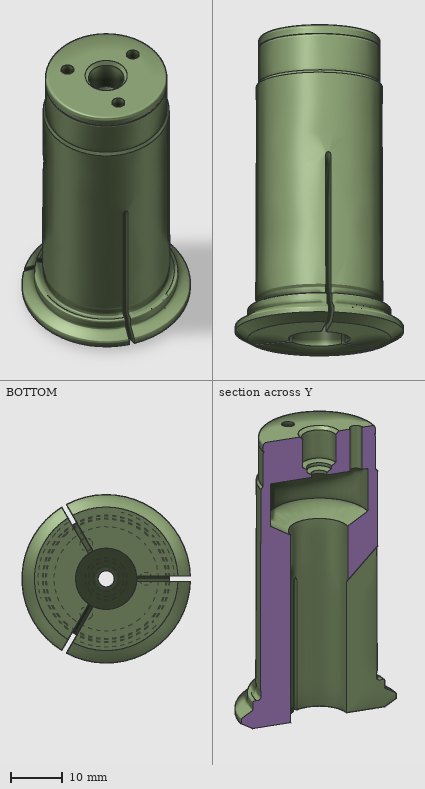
import cadquery as cq
import math


length = 60.5
sector_count = 3

flange_r = 33.0 / 2
bottom_r = 14.05
bevel_angle = math.radians(30)
rim_top = 2.25
rim_round = 0.55
collar_r = bottom_r
collar_top = 5.9
collar_root_blend = 0.4
collar_edge_round = 0.35

relief_r = 24.6 / 2
relief_arc_r = 0.7
relief_arc_top = 6.6
relief_top = 7.3
relief_taper = math.radians(15)

body_bottom_r = 12.45
body_top_r = 12.35
body_top = 50.65
head_r = 23.8 / 2
head_bottom = 51.25
edge_round = 0.8
joint_top = 58.55
joint_bottom = 58.0

drill_slope = math.radians(31)
bore_r = 12.0 / 2
bore_depth = 39.9
chamber_r = 20.4 / 2
chamber_top = 51.4

hole_chamfer = 0.65
hole_r = 6.9 / 2
hole_depth = 6.65
pilot_r = 5.0 / 2
pilot_depth = 7.85
vent_r = 3.15 / 2

feed_r = 2.5 / 2
feed_circle_r = 7.75

slit_width = 1.0
slit_end_z = 33.9
slit_end_slope = math.radians(45)


def make_outside():
    """Revolved outer form, drawn as radius against height from the bottom face upwards."""
    bevel = math.tan(bevel_angle)
    bottom_bevel_top = (flange_r - bottom_r) * bevel

    rim_center_r = flange_r - rim_round
    rim_turn = math.pi / 2 - bevel_angle
    rim_mid = (
        rim_center_r + rim_round * math.cos(rim_turn / 2),
        rim_top + rim_round * math.sin(rim_turn / 2),
    )
    rim_end = (
        rim_center_r + rim_round * math.cos(rim_turn),
        rim_top + rim_round * math.sin(rim_turn),
    )

    root_center_r = collar_r + collar_root_blend
    root_start_r = root_center_r - collar_root_blend * math.cos(rim_turn)
    root_start = (root_start_r, rim_end[1] + (rim_end[0] - root_start_r) * bevel)
    collar_bottom = root_start[1] + collar_root_blend * math.sin(rim_turn)
    root_mid = (
        root_center_r - collar_root_blend * math.cos(rim_turn / 2),
        collar_bottom - collar_root_blend * math.sin(rim_turn / 2),
    )

    relief_center_r = relief_r + relief_arc_r
    relief_drop = relief_arc_top - collar_top
    relief_start_r = relief_center_r + math.sqrt(relief_arc_r**2 - relief_drop**2)
    relief_mid = (
        relief_center_r - relief_arc_r * math.sin(math.pi / 4),
        relief_arc_top - relief_arc_r * math.cos(math.pi / 4),
    )

    runout_mid = (
        relief_center_r - relief_arc_r * math.cos(relief_taper / 2),
        relief_top + relief_arc_r * math.sin(relief_taper / 2),
    )
    runout_end = (
        relief_center_r - relief_arc_r * math.cos(relief_taper),
        relief_top + relief_arc_r * math.sin(relief_taper),
    )
    body_bottom = runout_end[1] + (body_bottom_r - runout_end[0]) / math.tan(relief_taper)

    lip_center_r = head_r - edge_round
    lip_turn = math.asin((joint_top - joint_bottom) / edge_round)
    lip_mid = (
        lip_center_r + edge_round * math.cos(lip_turn / 2),
        joint_bottom + edge_round * math.sin(lip_turn / 2),
    )
    lip_end_r = lip_center_r + edge_round * math.cos(lip_turn)

    profile = (
        cq.Workplane("XZ")
        .moveTo(0, 0)
        .lineTo(bottom_r, 0)
        .lineTo(flange_r, bottom_bevel_top)
        .lineTo(flange_r, rim_top)
        .threePointArc(rim_mid, rim_end)
        .lineTo(*root_start)
        .threePointArc(root_mid, (collar_r, collar_bottom))
        .lineTo(collar_r, collar_top - collar_edge_round)
        .tangentArcPoint((collar_r - collar_edge_round, collar_top), relative=False)
        .lineTo(relief_start_r, collar_top)
        .threePointArc(relief_mid, (relief_r, relief_arc_top))
        .lineTo(relief_r, relief_top)
        .threePointArc(runout_mid, runout_end)
        .lineTo(body_bottom_r, body_bottom)
        .lineTo(body_top_r, body_top)
        .lineTo(head_r, head_bottom)
        .lineTo(head_r, joint_bottom)
        .threePointArc(lip_mid, (lip_end_r, joint_top))
        .lineTo(head_r, joint_top)
        .lineTo(head_r, length - edge_round)
        .tangentArcPoint((head_r - edge_round, length), relative=False)
        .lineTo(0, length)
        .close()
    )
    return profile.revolve(360, (0, 0, 0), (0, 1, 0))


def revolve_points(points):
    """Solid of revolution about Z from (radius, height) points."""
    return cq.Workplane("XZ").polyline(points).close().revolve(360, (0, 0, 0), (0, 1, 0))


def make_interior():
    """Clamping bore, opening through a drill-point cone into the wider chamber."""
    cone_height = (chamber_r - bore_r) * math.tan(drill_slope)
    return revolve_points([
        (0, 0),
        (bore_r, 0),
        (bore_r, bore_depth),
        (chamber_r, bore_depth + cone_height),
        (chamber_r, chamber_top),
        (0, chamber_top),
    ])


def make_head_hole():
    """Chamfered hole stepping down through two drill-point cones into the chamber."""
    hole_floor = length - hole_depth
    pilot_floor = length - pilot_depth
    return revolve_points([
        (0, length),
        (hole_r + hole_chamfer, length),
        (hole_r, length - hole_chamfer),
        (hole_r, hole_floor),
        (pilot_r, hole_floor - (hole_r - pilot_r) * math.tan(drill_slope)),
        (pilot_r, pilot_floor),
        (vent_r, pilot_floor - (pilot_r - vent_r) * math.tan(drill_slope)),
        (vent_r, chamber_top),
        (0, chamber_top),
    ])


def make_feed_holes():
    """Feed holes from the top face down into the chamber."""
    return (
        cq.Workplane("XY", origin=(0, 0, chamber_top))
        .polarArray(feed_circle_r, 0, 360, sector_count)
        .circle(feed_r)
        .extrude(length - chamber_top)
    )


def make_slit():
    """Radial slit along +X, from the bore outwards, with a sloping half-round upper end."""
    reach = 2 * flange_r
    slope = math.tan(slit_end_slope)
    axis_z = slit_end_z - body_top_r * slope
    outer_z = axis_z + reach * slope
    blade = (
        cq.Workplane("XZ")
        .polyline([(0, 0), (reach, 0), (reach, outer_z), (0, axis_z)])
        .close()
        .extrude(slit_width / 2, both=True)
    )
    direction = cq.Vector(math.cos(slit_end_slope), 0, math.sin(slit_end_slope))
    end_round = cq.Solid.makeCylinder(
        slit_width / 2, reach / math.cos(slit_end_slope), cq.Vector(0, 0, axis_z), direction
    )
    return blade.union(cq.Workplane(end_round))


result = make_outside().cut(make_interior()).cut(make_head_hole()).cut(make_feed_holes())
slit = make_slit()
for index in range(sector_count):
    result = result.cut(slit.rotate((0, 0, 0), (0, 0, 1), index * 360 / sector_count))